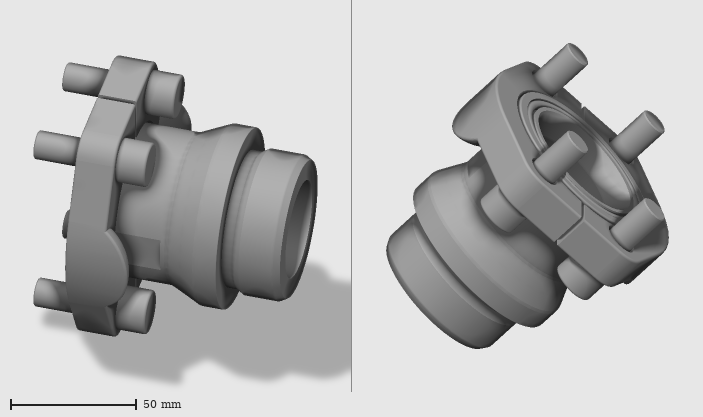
import cadquery as cq
import math


tolerance = 0.01

screw_shank_d = 11.7
screw_head_d = 18.0
screw_head_height = 12.0
screw_shank_length = 35.0
screw_tip_chamfer = 0.5
screw_head_fillet = 1.0
screw_y = 42.9 / 2
screw_z = 77.8 / 2

flange_thickness = 16.0
flange_back_x = screw_shank_length
flange_front_x = flange_back_x - flange_thickness
flange_half_height = 51.0
flange_side_radius = 48.5
flange_corner_radius = flange_half_height - screw_z
flange_edge_fillet = 1.0
flange_gap = 2.0
flange_bore_d = 72.55
flange_bore_chamfer = 0.7
flange_neck_bore_d = 64.0
screw_hole_d = 13.0
screw_hole_chamfer = 0.6

boss_radius = 25.8
boss_inner_y = 28.3
boss_inner_rounding = 19.7

face_x = 18.3
head_back_x = 28.0
head_d = 71.4
head_fillet = 0.7
neck_d = 62.0
cone_start_x = 56.1
cone_end_x = 69.0
collar_d = 74.0
collar_end_x = 78.3
collar_edge_fillet = 0.25
cone_blend_radius = 3.0
relief_d = 55.9
relief_end_x = 82.5
thread_d = 59.61
thread_chamfer_angle = math.radians(30)
thread_edge_radius = 1.4
pipe_end_x = 102.4
pipe_end_d = 56.3
bore_d = 40.0
mouth_d = 51.4
mouth_depth = 9.0
mouth_blend_radius = 1.2
flats_width = 60.0
flats_end_x = 53.5

groove_outer_d = 64.0
groove_inner_d = 55.11
seal_section_d = 3.75
groove_depth = seal_section_d


def x_cylinder(diameter, start_x, end_x, y=0.0, z=0.0):
    """Cylinder along X between two stations."""
    return cq.Workplane("YZ", origin=(start_x, y, z)).circle(diameter / 2).extrude(end_x - start_x)


def countersink(diameter, depth, x, y, z):
    """Cutter for a 45 degree chamfer on a hole that opens toward -X at x."""
    return (
        cq.Workplane("YZ", origin=(x, y, z))
        .circle(diameter / 2 + depth)
        .workplane(offset=depth)
        .circle(diameter / 2)
        .loft()
    )


def revolve_about_x(profile):
    """Turn a closed profile of (x, radius) in the XY plane into a round body."""
    return profile.close().revolve(360, (0, 0, 0), (1, 0, 0))


def round_edge(body, x, diameter, fillet_radius):
    """Fillet the one round edge of the given diameter that lies in the plane at x."""
    def is_wanted(edge):
        return abs(edge.Center().x - x) < tolerance and abs(edge.radius() - diameter / 2) < tolerance

    return body.edges("%CIRCLE").filter(is_wanted).fillet(fillet_radius)


def make_pipe():
    thread_step = (thread_d - relief_d) / 2
    thread_start_x = relief_end_x + thread_step / math.tan(thread_chamfer_angle)
    end_step = (thread_d - pipe_end_d) / 2
    thread_end_x = pipe_end_x - end_step / math.tan(thread_chamfer_angle)

    profile = (
        cq.Workplane("XY")
        .moveTo(face_x, mouth_d / 2)
        .lineTo(face_x, head_d / 2)
        .lineTo(head_back_x, head_d / 2)
        .lineTo(head_back_x, neck_d / 2)
        .lineTo(cone_start_x, neck_d / 2)
        .lineTo(cone_end_x, collar_d / 2)
        .lineTo(collar_end_x, collar_d / 2)
        .lineTo(collar_end_x, relief_d / 2)
        .lineTo(relief_end_x, relief_d / 2)
        .lineTo(thread_start_x, thread_d / 2)
        .lineTo(thread_end_x, thread_d / 2)
        .lineTo(pipe_end_x, pipe_end_d / 2)
        .lineTo(pipe_end_x, bore_d / 2)
        .lineTo(face_x + mouth_depth, bore_d / 2)
    )
    pipe = revolve_about_x(profile)

    pipe = round_edge(pipe, face_x, head_d, head_fillet)
    pipe = round_edge(pipe, head_back_x, head_d, head_fillet)
    pipe = round_edge(pipe, head_back_x, neck_d, head_fillet)
    pipe = round_edge(pipe, cone_start_x, neck_d, cone_blend_radius)
    pipe = round_edge(pipe, cone_end_x, collar_d, cone_blend_radius)
    pipe = round_edge(pipe, collar_end_x, collar_d, collar_edge_fillet)
    pipe = round_edge(pipe, thread_end_x, thread_d, thread_edge_radius)
    pipe = round_edge(pipe, face_x + mouth_depth, bore_d, mouth_blend_radius)

    groove_end_x = face_x + groove_depth
    groove = x_cylinder(groove_outer_d, face_x, groove_end_x)
    groove = groove.cut(x_cylinder(groove_inner_d, face_x, groove_end_x))
    pipe = pipe.cut(groove)

    flats_start_x = head_back_x + head_fillet
    flats_length = flats_end_x - flats_start_x
    for side in (-1, 1):
        cutter = cq.Workplane("XY").box(flats_length, neck_d, neck_d).translate(
            (flats_start_x + flats_length / 2, side * (flats_width + neck_d) / 2, 0)
        )
        pipe = pipe.cut(cutter)
    return pipe


def make_seal():
    section_radius = seal_section_d / 2
    ring_radius = groove_outer_d / 2 - section_radius
    return (
        cq.Workplane("XY")
        .center(face_x + section_radius, ring_radius)
        .circle(section_radius)
        .revolve(360, (0, -ring_radius, 0), (1, -ring_radius, 0))
    )


def make_flange_half(side):
    """Half of the split flange on the +Y (side = 1) or -Y (side = -1) side."""
    screw_distance = math.hypot(screw_y, screw_z)
    slope_angle = math.atan2(screw_z, screw_y) - math.acos(
        (flange_side_radius - flange_corner_radius) / screw_distance
    )

    def on_corner(angle):
        return (
            screw_y + flange_corner_radius * math.cos(angle),
            screw_z + flange_corner_radius * math.sin(angle),
        )

    def mirrored(point):
        return (point[0], -point[1])

    corner_start = on_corner(math.pi / 2)
    corner_mid = on_corner((math.pi / 2 + slope_angle) / 2)
    corner_end = on_corner(slope_angle)
    side_y = flange_side_radius * math.cos(slope_angle)
    side_z = flange_side_radius * math.sin(slope_angle)
    gap_y = flange_gap / 2

    plate = (
        cq.Workplane("YZ", origin=(flange_front_x, 0, 0))
        .moveTo(gap_y, flange_half_height)
        .lineTo(*corner_start)
        .threePointArc(corner_mid, corner_end)
        .lineTo(side_y, side_z)
        .threePointArc((flange_side_radius, 0), (side_y, -side_z))
        .lineTo(*mirrored(corner_end))
        .threePointArc(mirrored(corner_mid), mirrored(corner_start))
        .lineTo(gap_y, -flange_half_height)
        .close()
        .extrude(flange_thickness)
    )
    for face in ("<X", ">X"):
        outline = plate.faces(face).edges().filter(lambda edge: edge.Center().y > gap_y + tolerance)
        plate = outline.fillet(flange_edge_fillet)

    boss_start_x = flange_front_x + flange_thickness / 2
    boss_end_x = flange_front_x + boss_radius
    boss = (
        cq.Workplane("XZ", origin=(flange_front_x, boss_inner_y, 0))
        .circle(boss_radius)
        .extrude(boss_inner_y - flange_side_radius)
        .faces("<Y")
        .edges()
        .fillet(boss_inner_rounding)
    )
    boss = boss.intersect(x_cylinder(2 * flange_side_radius, boss_start_x, boss_end_x))
    boss = boss.edges(cq.selectors.NearestToPointSelector((boss_end_x, flange_side_radius, 0)))
    half = plate.union(boss.fillet(flange_edge_fillet))

    half = half.cut(x_cylinder(flange_bore_d, flange_front_x, head_back_x))
    half = half.cut(x_cylinder(flange_neck_bore_d, flange_front_x, boss_end_x))

    chamfered_edges = [(flange_bore_d, flange_bore_chamfer, 0, 0)]
    for z in (-screw_z, screw_z):
        half = half.cut(x_cylinder(screw_hole_d, flange_front_x, flange_back_x, screw_y, z))
        chamfered_edges.append((screw_hole_d, screw_hole_chamfer, screw_y, z))
    for diameter, depth, y, z in chamfered_edges:
        half = half.cut(countersink(diameter, depth, flange_front_x, y, z))
    return half if side > 0 else half.mirror("XZ")


def make_screw(y, z):
    shank = x_cylinder(screw_shank_d, 0, screw_shank_length, y, z).faces("<X").chamfer(screw_tip_chamfer)
    head_end_x = screw_shank_length + screw_head_height
    head = x_cylinder(screw_head_d, screw_shank_length, head_end_x, y, z).faces(">X").edges()
    return shank.union(head.fillet(screw_head_fillet))


pipe = make_pipe()
seal = make_seal()
flange_halves = [make_flange_half(side) for side in (-1, 1)]
screw_places = [(y, z) for y in (-screw_y, screw_y) for z in (-screw_z, screw_z)]
screws = [make_screw(y, z) for y, z in screw_places]
bodies = [pipe, seal, *flange_halves, *screws]
result = cq.Compound.makeCompound([body.val() for body in bodies])